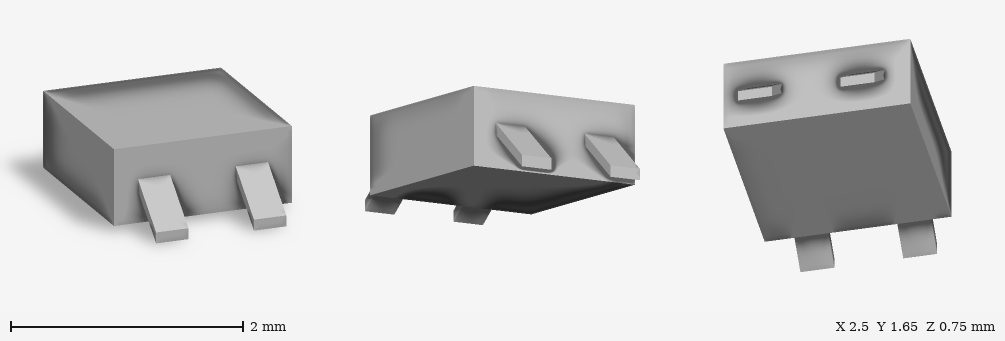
import cadquery as cq

overall_length = 2.5
housing_side = 1.65
housing_height = 0.7
standoff = 0.05
lead_width = 0.3
lead_pitch = 0.908
lead_thickness = 0.1
lead_root_height = 0.35

half_side = housing_side / 2
half_length = overall_length / 2


def make_housing():
    """Plain square block, raised above the lead tips."""
    return cq.Workplane("XY").workplane(offset=standoff).rect(housing_side, housing_side).extrude(housing_height)


def make_lead(side, y_center):
    """Straight sloping lead with upright end faces; side is -1 or 1 along X."""
    root_x = side * half_side
    tip_x = side * half_length
    outline = [
        (root_x, lead_root_height),
        (root_x, lead_root_height + lead_thickness),
        (tip_x, lead_thickness),
        (tip_x, 0),
    ]
    profile = cq.Workplane("XZ", origin=(0, y_center, 0)).polyline(outline).close()
    return profile.extrude(lead_width / 2, both=True)


housing = make_housing()

leads = []
for side in (-1, 1):
    for row in (-1, 1):
        lead = make_lead(side, row * lead_pitch / 2)
        leads.append(lead.val())

result = cq.Compound.makeCompound([housing.val(), *leads])